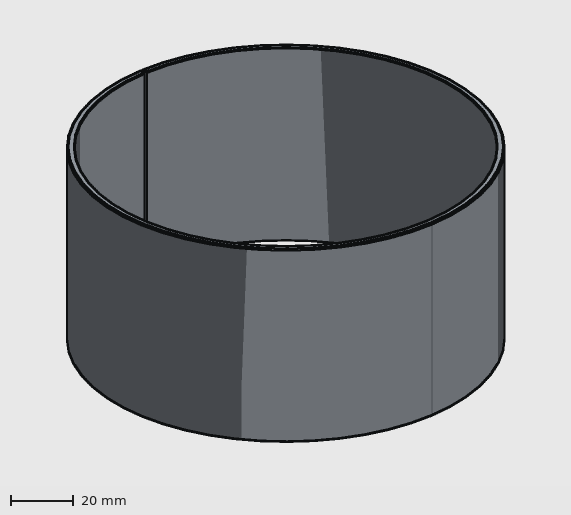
import cadquery as cq

outer_diameter = 140.0
wall = 2.5
height = 70.0
outer_chamfer = 0.49
inner_chamfer = 0.3
slit_width = 1.0

outer_radius = outer_diameter / 2
inner_radius = outer_radius - wall


def make_tube():
    """Tube centred on the origin, with both edges of each rim chamfered."""
    half_height = height / 2
    outer_shoulder = half_height - outer_chamfer
    inner_shoulder = half_height - inner_chamfer
    outer_rim_radius = outer_radius - outer_chamfer
    inner_rim_radius = inner_radius + inner_chamfer
    wall_section = (
        cq.Workplane("XZ")
        .moveTo(inner_radius, -inner_shoulder)
        .lineTo(inner_rim_radius, -half_height)
        .lineTo(outer_rim_radius, -half_height)
        .lineTo(outer_radius, -outer_shoulder)
        .lineTo(outer_radius, outer_shoulder)
        .lineTo(outer_rim_radius, half_height)
        .lineTo(inner_rim_radius, half_height)
        .lineTo(inner_radius, inner_shoulder)
        .close()
    )
    return wall_section.revolve(360, (0, 0, 0), (0, 1, 0))


def make_slit():
    """Full-height cutter through the -X wall, lying on the +Y side of the XZ plane."""
    cutter_depth = 4 * wall
    cutter = cq.Workplane("XY").box(cutter_depth, slit_width, height)
    return cutter.translate((-outer_radius, slit_width / 2, 0))


result = make_tube().cut(make_slit())